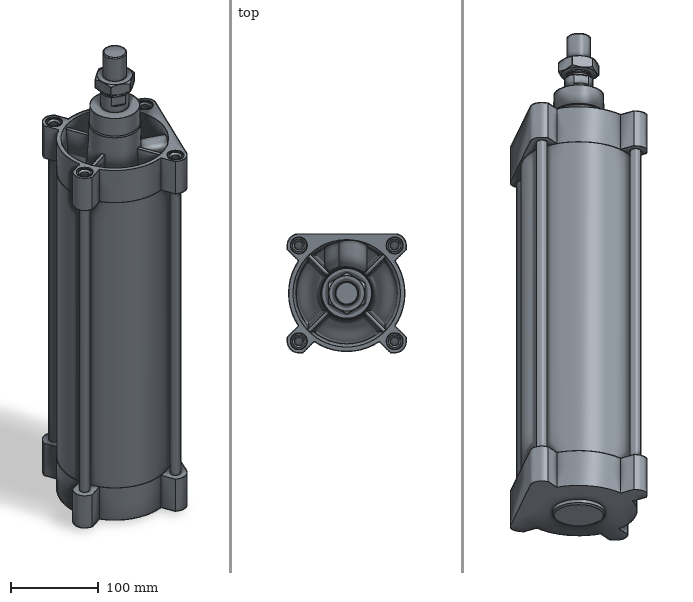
import cadquery as cq
import math

SPIGOT_HEIGHT = 6.0
CAP_HEIGHT = 44.0
FRONT_CAP_BOTTOM = 441.5
FRONT_CAP_TOP = FRONT_CAP_BOTTOM + CAP_HEIGHT
REAR_CAP_TOP = SPIGOT_HEIGHT + CAP_HEIGHT
COLLAR_STEP = 508.0
COLLAR_TOP = 532.0
ROD_SHOULDER = 552.0
NECK_BOTTOM = 553.0
THREAD_BOTTOM = 555.5
NUT_BOTTOM = 558.5
NUT_TOP = 573.0
ROD_TOP = 605.0

CAP_WIDTH = 136.0
HALF_CAP = CAP_WIDTH / 2
CAP_DIAMETER = 133.0
TUBE_DIAMETER = 132.5
LUG_RADIUS = 13.5
LUG_CENTRE = HALF_CAP - LUG_RADIUS
LUG_FLAT_END = 50.0

TIE_ROD_DIAMETER = 12.0
SOCKET_RIM_DIAMETER = 19.5
SOCKET_FLOOR_DIAMETER = 18.0
SOCKET_DEPTH = 1.0
BORE_RIM_DIAMETER = 14.5
BORE_DIAMETER = 10.0
BORE_DEPTH = 12.0

RECESS_DEPTH = 36.0
RECESS_RIM_DIAMETER = 123.0
RECESS_FLOOR_DIAMETER = 115.0
RECESS_FILLET = 2.5
COLLAR_DIAMETER = 60.0
COLLAR_FOOT_DIAMETER = 65.5
COLLAR_FOOT_DROP = 2.5
COLLAR_NECK_DIAMETER = 58.0
COLLAR_MOUTH_DIAMETER = 57.0
EDGE_CHAMFER = 2.0

RIB_DROP = 3.5
RIB_CROWN_WIDTH = 4.0
RIB_CROWN_RISE = 0.5
RIB_FOOT_WIDTH = 8.5

PORT_DIAMETER = 32.0
PORT_X = 7.0
PASSAGE_DIAMETER = 24.0
PASSAGE_X = -13.5
PASSAGE_Z = 451.5

ROD_DIAMETER = 32.0
ROD_FLAT_WIDTH = 27.0
ROD_FLAT_BOTTOM = 540.0
THREAD_DIAMETER = 27.0
THREAD_CHAMFER = 1.0
NECK_DIAMETER = 25.0

NUT_WIDTH = 41.0
NUT_FACE_DIAMETER = 40.5
NUT_CORNER_DIAMETER = 47.0
NUT_CHAMFER_ANGLE = 30

DIAGONALS = [45, 135, 225, 315]


def cylinder(diameter, bottom, top):
    return cq.Workplane("XY").workplane(offset=bottom).circle(diameter / 2).extrude(top - bottom)


def turned(points):
    """Solid of revolution about Z from (radius, height) points, closed along the axis."""
    first_height = points[0][1]
    last_height = points[-1][1]
    outline = [(0, first_height), *points, (0, last_height)]
    return cq.Workplane("XZ").polyline(outline).close().revolve(360, (0, 0, 0), (0, 1, 0))


def lug(bottom):
    """Corner lug at (+X, +Y): one rounded corner, with 45 degree sides running to the axis."""
    arc_offset = LUG_CENTRE + LUG_RADIUS * math.sqrt(0.5)
    inset = HALF_CAP - LUG_FLAT_END
    return (
        cq.Workplane("XY")
        .workplane(offset=bottom)
        .moveTo(0, inset)
        .lineTo(0, 0)
        .lineTo(inset, 0)
        .lineTo(HALF_CAP, LUG_FLAT_END)
        .lineTo(HALF_CAP, LUG_CENTRE)
        .threePointArc((arc_offset, arc_offset), (LUG_CENTRE, HALF_CAP))
        .lineTo(LUG_FLAT_END, HALF_CAP)
        .close()
        .extrude(CAP_HEIGHT)
    )


def cap(bottom):
    """Round cap with four corner lugs and one flat side at +Y that joins two of them."""
    body = cylinder(CAP_DIAMETER, bottom, bottom + CAP_HEIGHT)
    for turn in range(4):
        body = body.union(lug(bottom).rotate((0, 0, 0), (0, 0, 1), 90 * turn))
    flat_side = (
        cq.Workplane("XY")
        .workplane(offset=bottom)
        .polyline([(0, 0), (LUG_CENTRE, LUG_CENTRE), (LUG_CENTRE, HALF_CAP),
                   (-LUG_CENTRE, HALF_CAP), (-LUG_CENTRE, LUG_CENTRE)])
        .close()
        .extrude(CAP_HEIGHT)
    )
    return body.union(flat_side)


def rib(angle):
    """Tapered rib with a rounded crown, running outward from the axis inside the recess."""
    foot = FRONT_CAP_TOP - RECESS_DEPTH
    crown = FRONT_CAP_TOP - RIB_DROP
    shoulder = crown - RIB_CROWN_RISE
    return (
        cq.Workplane("YZ")
        .moveTo(-RIB_FOOT_WIDTH / 2, foot)
        .lineTo(RIB_FOOT_WIDTH / 2, foot)
        .lineTo(RIB_CROWN_WIDTH / 2, shoulder)
        .threePointArc((0, crown), (-RIB_CROWN_WIDTH / 2, shoulder))
        .close()
        .extrude(RECESS_RIM_DIAMETER / 2)
        .rotate((0, 0, 0), (0, 0, 1), angle)
    )


def channel(diameter, x, z):
    """Solid round bar lying along +Y from the XZ plane to past the recess wall."""
    return cq.Workplane("XZ").center(x, z).circle(diameter / 2).extrude(-CAP_DIAMETER / 2)


def collar():
    """Guide collar: drafted foot in the recess, chamfered step and slightly tapered mouth."""
    return turned([
        (COLLAR_FOOT_DIAMETER / 2, FRONT_CAP_TOP - RECESS_DEPTH),
        (COLLAR_DIAMETER / 2, FRONT_CAP_TOP - COLLAR_FOOT_DROP),
        (COLLAR_DIAMETER / 2, COLLAR_STEP - EDGE_CHAMFER),
        (COLLAR_NECK_DIAMETER / 2, COLLAR_STEP),
        (COLLAR_MOUTH_DIAMETER / 2, COLLAR_TOP),
    ])


def recess():
    """Void around the collar, ribs and channels, rounded where it meets its floor."""
    floor = FRONT_CAP_TOP - RECESS_DEPTH
    void = turned([(RECESS_FLOOR_DIAMETER / 2, floor), (RECESS_RIM_DIAMETER / 2, FRONT_CAP_TOP)])
    void = void.cut(collar())
    for angle in DIAGONALS:
        void = void.cut(rib(angle))
    void = void.faces("<Z").edges().fillet(RECESS_FILLET)
    port_z = FRONT_CAP_BOTTOM + CAP_HEIGHT / 2
    port = channel(PORT_DIAMETER, PORT_X, port_z)
    passage = channel(PASSAGE_DIAMETER, PASSAGE_X, PASSAGE_Z)
    return void.cut(port).cut(passage)


def tie_rod_socket():
    """Shallow tapered socket with a countersunk blind bore, on the Z axis."""
    socket_floor = FRONT_CAP_TOP - SOCKET_DEPTH
    countersink = (BORE_RIM_DIAMETER - BORE_DIAMETER) / 2
    return turned([
        (BORE_DIAMETER / 2, FRONT_CAP_TOP - BORE_DEPTH),
        (BORE_DIAMETER / 2, socket_floor - countersink),
        (BORE_RIM_DIAMETER / 2, socket_floor),
        (SOCKET_FLOOR_DIAMETER / 2, socket_floor),
        (SOCKET_RIM_DIAMETER / 2, FRONT_CAP_TOP),
    ])


def make_housing():
    spigot = cylinder(COLLAR_DIAMETER, 0, SPIGOT_HEIGHT).faces("<Z").chamfer(EDGE_CHAMFER)
    front_cap = cap(FRONT_CAP_BOTTOM).cut(recess())
    tube = cylinder(TUBE_DIAMETER, REAR_CAP_TOP, FRONT_CAP_BOTTOM)

    housing = cap(SPIGOT_HEIGHT).union(spigot).union(tube).union(front_cap).union(collar())
    corners = [(x, y) for x in (-LUG_CENTRE, LUG_CENTRE) for y in (-LUG_CENTRE, LUG_CENTRE)]
    for x, y in corners:
        rod = cylinder(TIE_ROD_DIAMETER, REAR_CAP_TOP, FRONT_CAP_BOTTOM).translate((x, y, 0))
        housing = housing.union(rod).cut(tie_rod_socket().translate((x, y, 0)))
    return housing.cut(cylinder(ROD_DIAMETER, FRONT_CAP_BOTTOM, COLLAR_TOP))


def make_piston_rod():
    """Rod with two wrench flats, an undercut neck and a plain cylindrical thread."""
    rod = turned([
        (ROD_DIAMETER / 2, FRONT_CAP_BOTTOM),
        (ROD_DIAMETER / 2, ROD_SHOULDER),
        (THREAD_DIAMETER / 2, ROD_SHOULDER),
        (NECK_DIAMETER / 2, NECK_BOTTOM),
        (NECK_DIAMETER / 2, THREAD_BOTTOM),
        (THREAD_DIAMETER / 2, THREAD_BOTTOM + THREAD_CHAMFER),
        (THREAD_DIAMETER / 2, ROD_TOP - THREAD_CHAMFER),
        (THREAD_DIAMETER / 2 - THREAD_CHAMFER, ROD_TOP),
    ])
    flat_height = ROD_SHOULDER - ROD_FLAT_BOTTOM
    for side in (-1, 1):
        cutter = cq.Workplane("XY").box(ROD_DIAMETER, ROD_DIAMETER, flat_height, centered=(True, True, False))
        offset = side * (ROD_FLAT_WIDTH + ROD_DIAMETER) / 2
        rod = rod.cut(cutter.translate((offset, 0, ROD_FLAT_BOTTOM)))
    return rod


def make_nut():
    """Hexagon nut with flats facing +X and -X and both ends chamfered to a round face."""
    sharp_diameter = NUT_WIDTH / math.cos(math.radians(30))
    bevel = (NUT_CORNER_DIAMETER - NUT_FACE_DIAMETER) / 2 * math.tan(math.radians(NUT_CHAMFER_ANGLE))
    hexagon = (
        cq.Workplane("XY")
        .workplane(offset=NUT_BOTTOM)
        .polygon(6, sharp_diameter)
        .extrude(NUT_TOP - NUT_BOTTOM)
        .rotate((0, 0, 0), (0, 0, 1), 30)
    )
    envelope = turned([
        (NUT_FACE_DIAMETER / 2, NUT_BOTTOM),
        (NUT_CORNER_DIAMETER / 2, NUT_BOTTOM + bevel),
        (NUT_CORNER_DIAMETER / 2, NUT_TOP - bevel),
        (NUT_FACE_DIAMETER / 2, NUT_TOP),
    ])
    return hexagon.intersect(envelope).cut(cylinder(THREAD_DIAMETER, NUT_BOTTOM, NUT_TOP))


housing = make_housing()
piston_rod = make_piston_rod()
nut = make_nut()

result = cq.Compound.makeCompound([housing.val(), piston_rod.val(), nut.val()])